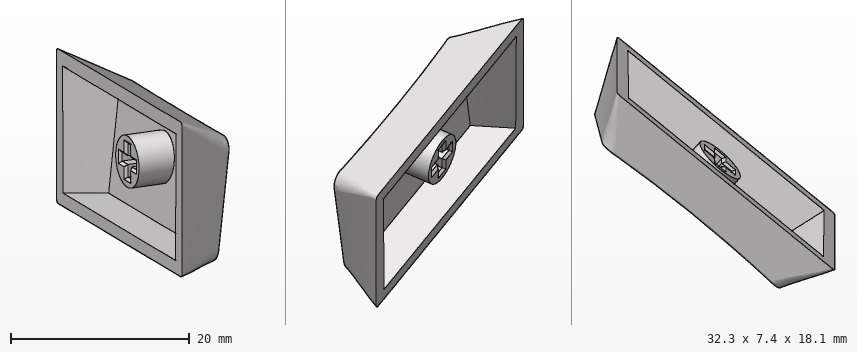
import cadquery as cq
import math

WIDTH = 32.3
HEIGHT = 18.1
RIM_RADIUS = 0.45

TOP_WIDTH = 26.35
TOP_UPPER_Y = 7.5
TOP_UPPER_Z = 5.35
TOP_LOWER_Y = 5.88
TOP_LOWER_Z = -HEIGHT / 2
TOP_RADIUS = 1.6
TOP_EDGE_FILLET = 0.25
DISH_DEPTH = 0.5
SECTION_COUNT = 5
OVERSHOOT = 1.06

RIM_UPPER_WIDTH = 29.15
RIM_LOWER_WIDTH = 28.88
FLOOR_UPPER_WIDTH = 24.15
FLOOR_LOWER_WIDTH = 24.42
CAVITY_UPPER_Z = 7.33
CAVITY_LOWER_Z = -7.5
FLOOR_UPPER_Y = 5.8
FLOOR_UPPER_Z = 4.45
FLOOR_LOWER_Y = 4.6

STEM_DIAMETER = 6.0
STEM_START_Y = 1.0
CROSS_LENGTH = 4.62
CROSS_WIDTH = 1.68
CROSS_CHAMFER = 0.32


def section_plane(lower, upper):
    """Plane with local x along X and local y from the lower to the upper (y, z) point."""
    rise_y = upper[0] - lower[0]
    rise_z = upper[1] - lower[1]
    middle = (0, (lower[0] + upper[0]) / 2, (lower[1] + upper[1]) / 2)
    return cq.Plane(origin=middle, xDir=(-1, 0, 0), normal=(0, rise_z, -rise_y))


def section_wire(lower, upper, width, radius):
    """Rounded rectangle between two (y, z) points."""
    slab = cq.Workplane().rect(width, math.dist(lower, upper)).extrude(0.32).edges("|Z").fillet(radius)
    outline = slab.faces("<Z").wires().val()
    return outline.moved(section_plane(lower, upper).location)


def blend(start, end, fraction):
    return start + (end - start) * fraction


def outer_body():
    wires = []
    for index in range(SECTION_COUNT):
        fraction = OVERSHOOT * index / (SECTION_COUNT - 1)
        capped = min(fraction, 1.0)
        eased = capped**2 * (3 - 2 * capped)
        lower = (TOP_LOWER_Y * fraction, TOP_LOWER_Z)
        upper = (TOP_UPPER_Y * fraction, blend(HEIGHT / 2, TOP_UPPER_Z, fraction))
        width = blend(WIDTH, TOP_WIDTH, fraction)
        wires.append(section_wire(lower, upper, width, blend(RIM_RADIUS, TOP_RADIUS, eased)))
    return cq.Workplane(cq.Solid.makeLoft(wires))


def dish_trim():
    """Everything beyond the dished key top."""
    plane = section_plane((TOP_LOWER_Y, TOP_LOWER_Z), (TOP_UPPER_Y, TOP_UPPER_Z))
    half_chord = TOP_WIDTH / 2
    reach = WIDTH / 2
    radius = (half_chord**2 + DISH_DEPTH**2) / (2 * DISH_DEPTH)
    end_height = radius - DISH_DEPTH - math.sqrt(radius**2 - reach**2)
    profile = cq.Workplane(cq.Plane(plane.origin, plane.xDir, plane.yDir))
    return (
        profile.moveTo(-reach, -end_height)
        .threePointArc((0, DISH_DEPTH), (reach, -end_height))
        .lineTo(reach, -WIDTH)
        .lineTo(-reach, -WIDTH)
        .close()
        .extrude(WIDTH, both=True)
    )


def trapezoid_wire(lower, upper, lower_width, upper_width):
    """Symmetric trapezoid between two (y, z) points."""
    corners = [
        cq.Vector(-lower_width / 2, *lower),
        cq.Vector(lower_width / 2, *lower),
        cq.Vector(upper_width / 2, *upper),
        cq.Vector(-upper_width / 2, *upper),
    ]
    return cq.Wire.makePolygon(corners, close=True)


def cavity():
    rim = trapezoid_wire((0, CAVITY_LOWER_Z), (0, CAVITY_UPPER_Z), RIM_LOWER_WIDTH, RIM_UPPER_WIDTH)
    floor = trapezoid_wire(
        (FLOOR_LOWER_Y, CAVITY_LOWER_Z),
        (FLOOR_UPPER_Y, FLOOR_UPPER_Z),
        FLOOR_LOWER_WIDTH,
        FLOOR_UPPER_WIDTH,
    )
    return cq.Workplane(cq.Solid.makeLoft([rim, floor], True))


def cross_wire(y, inset):
    """Cross outline at the given Y, shrunk by the inset on every side."""
    half_long = CROSS_LENGTH / 2 - inset
    half_wide = CROSS_WIDTH / 2 - inset
    corners = [(half_long, half_wide), (half_wide, half_wide), (half_wide, half_long)]
    points = []
    for _ in range(4):
        points += [cq.Vector(x, y, z) for x, z in corners]
        corners = [(-z, x) for x, z in corners]
    return cq.Wire.makePolygon(points, close=True)


def stem():
    """Post with a cross socket right through it; the cavity floor closes the socket."""
    length = FLOOR_UPPER_Y - STEM_START_Y
    axis = cq.Vector(0, 1, 0)
    post = cq.Solid.makeCylinder(STEM_DIAMETER / 2, length, cq.Vector(0, STEM_START_Y, 0), axis)
    outer = cross_wire(STEM_START_Y, 0)
    inner = cross_wire(STEM_START_Y + CROSS_CHAMFER, CROSS_CHAMFER)
    entry = cq.Solid.makeLoft([outer, inner], True)
    socket = cq.Solid.extrudeLinear(inner, [], axis * length)
    return cq.Workplane(post).cut(cq.Workplane(entry)).cut(cq.Workplane(socket))


body = outer_body().cut(dish_trim())
body = body.faces(">Y").edges().fillet(TOP_EDGE_FILLET)
result = body.cut(cavity()).union(stem())